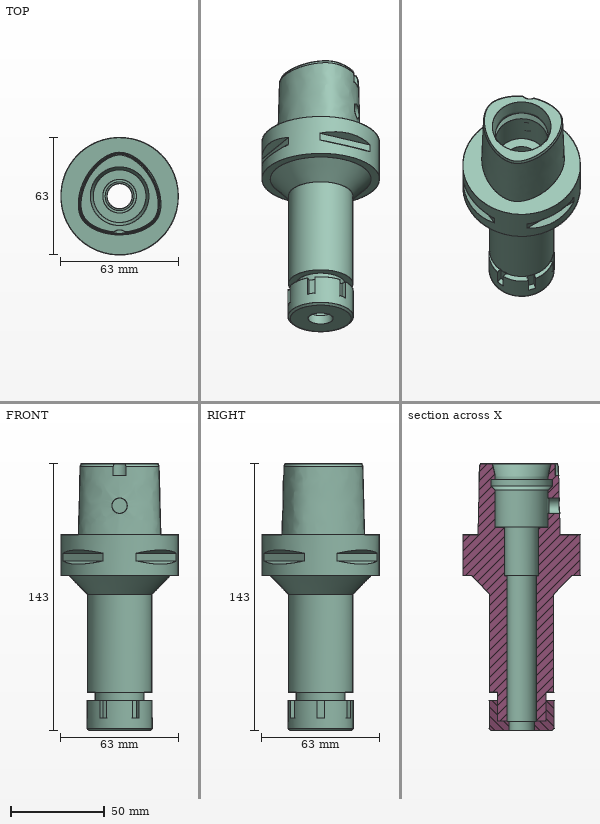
import cadquery as cq
import math


SHANK_LENGTH = 38.0
POLYGON_RADIUS = 22.15
POLYGON_ECCENTRICITY = 1.4
POLYGON_LOBES = 3
POLYGON_POINTS = 48
TAPER_PER_SIDE = 1 / 40
RIM_CHAMFER_HEIGHT = 1.5
RIM_CHAMFER_WIDTH = 0.6

NOTCH_RADIUS = 4.4
NOTCH_INNER_REACH = 18.0
NOTCH_DEPTH = 6.3

SIDE_HOLE_DIAMETER = 8.2
SIDE_HOLE_FROM_RIM = 22.5
SIDE_HOLE_FLOOR_REACH = 14.6

FLANGE_RADIUS = 31.5
FLANGE_HEIGHT = 22.0
CONE_TOP_RADIUS = 27.0
CONE_HEIGHT = 10.0
BODY_RADIUS = 17.25
BODY_BOTTOM = -84.4
NECK_RADIUS = 13.1

GRIPPER_COUNT = 4
GRIPPER_FIRST_ANGLE = 45.0
GRIPPER_CENTER = -12.0
GRIPPER_FLOOR_REACH = 27.6
GRIPPER_FLOOR_HEIGHT = 4.0
GRIPPER_MOUTH_HEIGHT = 7.6

NUT_BOTTOM = -105.0
NUT_HEIGHT = 16.3
NUT_RADIUS = 17.5
NUT_CHAMFER_HEIGHT = 1.1
NUT_CHAMFER_WIDTH = 1.2
NUT_END_WALL = 5.0
NUT_BORE_RADIUS = 6.7

WRENCH_SLOT_COUNT = 6
WRENCH_SLOT_WIDTH = 4.0
WRENCH_SLOT_LENGTH = 9.5
WRENCH_SLOT_FLOOR_REACH = 14.5

MOUTH_RADIUS = 15.7
SOCKET_RADIUS = 14.1
MOUTH_CONE_DEPTH = 6.9
GROOVE_RADIUS = 16.3
GROOVE_TOP_DEPTH = 8.6
GROOVE_BOTTOM_DEPTH = 12.0
SOCKET_DEPTH = 34.0
CHANNEL_RADIUS = 9.0
CHANNEL_STEP_DEPTH = 60.0
CHANNEL_LOWER_RADIUS = 7.7

NUT_TOP = NUT_BOTTOM + NUT_HEIGHT
NECK_BOTTOM = NUT_BOTTOM + NUT_END_WALL


def polygon_point(angle, radius):
    """Point of a constant-width curve with one lobe on +Y, at the given normal angle."""
    phase = POLYGON_LOBES * (angle - math.pi / 2)
    support = radius + POLYGON_ECCENTRICITY * math.cos(phase)
    slope = -POLYGON_LOBES * POLYGON_ECCENTRICITY * math.sin(phase)
    x = support * math.cos(angle) - slope * math.sin(angle)
    y = support * math.sin(angle) + slope * math.cos(angle)
    return x, y


def polygon_wire(radius, z):
    points = []
    for i in range(POLYGON_POINTS):
        x, y = polygon_point(2 * math.pi * i / POLYGON_POINTS - math.pi / 2, radius)
        points.append(cq.Vector(x, y, z))
    return cq.Wire.assembleEdges([cq.Edge.makeSpline(points, periodic=True)])


def polygon_frustum(bottom_radius, bottom_z, top_radius, top_z):
    wires = [polygon_wire(bottom_radius, bottom_z), polygon_wire(top_radius, top_z)]
    return cq.Workplane(cq.Solid.makeLoft(wires, True))


def make_shank():
    chamfer_z = SHANK_LENGTH - RIM_CHAMFER_HEIGHT
    chamfer_radius = POLYGON_RADIUS - TAPER_PER_SIDE * chamfer_z
    rim_radius = chamfer_radius - RIM_CHAMFER_WIDTH
    taper = polygon_frustum(POLYGON_RADIUS, 0, chamfer_radius, chamfer_z)
    rim = polygon_frustum(chamfer_radius, chamfer_z, rim_radius, SHANK_LENGTH)
    return taper.union(rim)


def revolve_profile(points):
    """Turn an (R, Z) outline about the Z axis."""
    return cq.Workplane("XZ").polyline(points).close().revolve(360, (0, 0, 0), (0, 1, 0))


def make_turned_body():
    cone_bottom = -FLANGE_HEIGHT - CONE_HEIGHT
    return revolve_profile([
        (0, 0),
        (FLANGE_RADIUS, 0),
        (FLANGE_RADIUS, -FLANGE_HEIGHT),
        (CONE_TOP_RADIUS, -FLANGE_HEIGHT),
        (BODY_RADIUS, cone_bottom),
        (BODY_RADIUS, BODY_BOTTOM),
        (NECK_RADIUS, BODY_BOTTOM),
        (NECK_RADIUS, NECK_BOTTOM),
        (0, NECK_BOTTOM),
    ])


def make_stepped_bore():
    rim = SHANK_LENGTH
    groove_end_depth = GROOVE_BOTTOM_DEPTH + GROOVE_RADIUS - SOCKET_RADIUS
    return revolve_profile([
        (0, rim),
        (MOUTH_RADIUS, rim),
        (SOCKET_RADIUS, rim - MOUTH_CONE_DEPTH),
        (SOCKET_RADIUS, rim - GROOVE_TOP_DEPTH),
        (GROOVE_RADIUS, rim - GROOVE_TOP_DEPTH),
        (GROOVE_RADIUS, rim - GROOVE_BOTTOM_DEPTH),
        (SOCKET_RADIUS, rim - groove_end_depth),
        (SOCKET_RADIUS, rim - SOCKET_DEPTH),
        (CHANNEL_RADIUS, rim - SOCKET_DEPTH),
        (CHANNEL_RADIUS, rim - CHANNEL_STEP_DEPTH),
        (CHANNEL_LOWER_RADIUS, rim - CHANNEL_STEP_DEPTH),
        (CHANNEL_LOWER_RADIUS, NECK_BOTTOM),
        (0, NECK_BOTTOM),
    ])


def make_key_notch():
    return (
        cq.Workplane("XY", origin=(0, -NOTCH_INNER_REACH - NOTCH_RADIUS, SHANK_LENGTH))
        .circle(NOTCH_RADIUS)
        .extrude(-NOTCH_DEPTH)
    )


def make_side_hole():
    """Radial hole from the outside on -Y, ending just short of the socket wall."""
    return (
        cq.Workplane("XZ", origin=(0, -SIDE_HOLE_FLOOR_REACH, SHANK_LENGTH - SIDE_HOLE_FROM_RIM))
        .circle(SIDE_HOLE_DIAMETER / 2)
        .extrude(FLANGE_RADIUS)
    )


def make_gripper_slot(angle):
    """Straight slot with flared flanks, cut square to the given direction."""
    floor_half = GRIPPER_FLOOR_HEIGHT / 2
    mouth_half = GRIPPER_MOUTH_HEIGHT / 2
    slot = (
        cq.Workplane("XZ")
        .polyline([
            (GRIPPER_FLOOR_REACH, GRIPPER_CENTER - floor_half),
            (FLANGE_RADIUS, GRIPPER_CENTER - mouth_half),
            (FLANGE_RADIUS, GRIPPER_CENTER + mouth_half),
            (GRIPPER_FLOOR_REACH, GRIPPER_CENTER + floor_half),
        ])
        .close()
        .extrude(FLANGE_RADIUS, both=True)
    )
    return slot.rotate((0, 0, 0), (0, 0, 1), angle)


def make_holder():
    holder = make_turned_body().union(make_shank())
    holder = holder.cut(make_stepped_bore()).cut(make_key_notch()).cut(make_side_hole())
    for i in range(GRIPPER_COUNT):
        holder = holder.cut(make_gripper_slot(GRIPPER_FIRST_ANGLE + i * 360 / GRIPPER_COUNT))
    return holder


def make_wrench_slot(angle):
    slot = cq.Workplane("XY").box(
        NUT_RADIUS, WRENCH_SLOT_WIDTH, WRENCH_SLOT_LENGTH, centered=(False, True, False)
    )
    slot = slot.translate((WRENCH_SLOT_FLOOR_REACH, 0, NUT_TOP - WRENCH_SLOT_LENGTH))
    return slot.rotate((0, 0, 0), (0, 0, 1), angle)


def make_nut():
    """Nut seated on the neck, with an end wall that closes over the neck's end face."""
    nut = revolve_profile([
        (NUT_BORE_RADIUS, NUT_BOTTOM),
        (NUT_RADIUS - NUT_CHAMFER_WIDTH, NUT_BOTTOM),
        (NUT_RADIUS, NUT_BOTTOM + NUT_CHAMFER_HEIGHT),
        (NUT_RADIUS, NUT_TOP),
        (NECK_RADIUS, NUT_TOP),
        (NECK_RADIUS, NECK_BOTTOM),
        (NUT_BORE_RADIUS, NECK_BOTTOM),
    ])
    for i in range(WRENCH_SLOT_COUNT):
        nut = nut.cut(make_wrench_slot(i * 360 / WRENCH_SLOT_COUNT))
    return nut


holder = make_holder()
nut = make_nut()

result = cq.Compound.makeCompound([holder.val(), nut.val()])